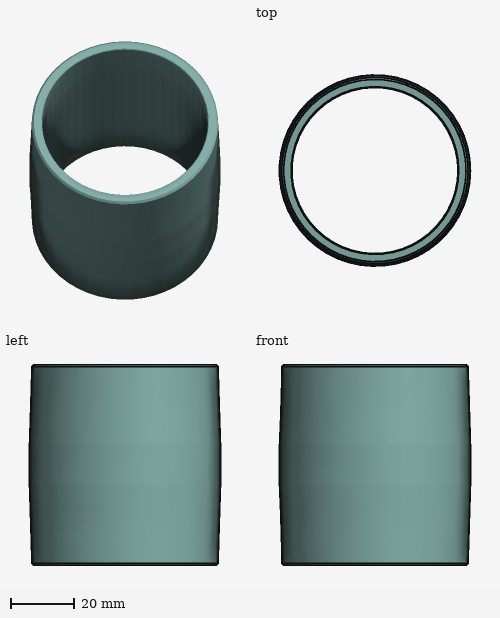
import cadquery as cq

length = 63.5
band_diameter = 60.45
band_length = 12.7
bore_diameter = 52.5
taper_on_diameter = 1 / 16
outer_chamfer = 0.65
bore_chamfer = 0.25

half_length = length / 2
half_band = band_length / 2
band_radius = band_diameter / 2
bore_radius = bore_diameter / 2
taper_length = half_length - half_band - outer_chamfer
taper_end_radius = band_radius - taper_length * taper_on_diameter / 2
end_face_radius = taper_end_radius - outer_chamfer


def wall_section():
    """Radius-height section of the wall, from the bore out and around."""
    return (
        cq.Workplane("XZ")
        .moveTo(bore_radius, -half_length + bore_chamfer)
        .lineTo(bore_radius + bore_chamfer, -half_length)
        .lineTo(end_face_radius, -half_length)
        .lineTo(taper_end_radius, -half_length + outer_chamfer)
        .lineTo(band_radius, -half_band)
        .lineTo(band_radius, half_band)
        .lineTo(taper_end_radius, half_length - outer_chamfer)
        .lineTo(end_face_radius, half_length)
        .lineTo(bore_radius + bore_chamfer, half_length)
        .lineTo(bore_radius, half_length - bore_chamfer)
        .close()
    )


result = wall_section().revolve(360, (0, 0, 0), (0, 1, 0))